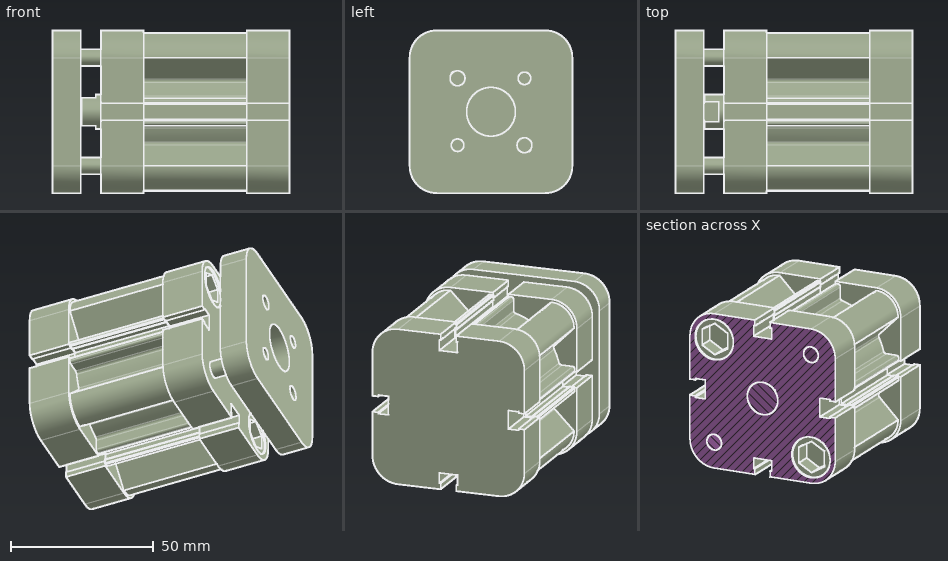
import cadquery as cq
import math


total_length = 83.0
plate_thickness = 10.0
cap_length = 15.0
tube_length = 36.0
housing_start = total_length - 2 * cap_length - tube_length
tube_start = housing_start + cap_length
gap_length = housing_start - plate_thickness

section_size = 57.0
half_section = section_size / 2
guide_offset = 18.9
corner_radius = half_section - guide_offset

bore_diameter = 17.1
bore_depth = 6.3
plate_hole_offset = 11.7
pin_hole_diameter = 5.2
thread_hole_diameter = 4.4

rod_diameter = 12.1
rod_across_flats = 9.9
rod_flat_length = 5.15
rod_chamfer = 0.3
guide_diameter = 6.0
rod_engagement = cap_length

tube_half = 27.5
tube_corner_radius = tube_half - guide_offset
barrel_radius = 22.5
lobe_width = math.sqrt(2) * tube_corner_radius
root_fillet = 1.0
jaw_half_width = 4.8
jaw_tip = 27.7
jaw_tip_fillet = 0.9

cap_slot_mouth = 5.8
cap_slot_width = 6.8
cap_slot_floor = barrel_radius
cap_slot_lip = 26.3

tube_slot_mouth = 5.4
tube_slot_width = 6.0
tube_slot_floor = 23.2
tube_slot_lip = 25.7
tube_flare_width = 0.4
tube_flare_depth = 0.25

socket_recess_diameter = 14.8
socket_recess_depth = 0.5
socket_across_flats = 10.0
socket_depth = 6.6
hexagon_sides = 6
hexagon_half_step = 180 / hexagon_sides
socket_across_corners = socket_across_flats / math.cos(math.radians(hexagon_half_step))

side_angles = (0, 90, 180, 270)


def section_plane(x):
    """Sketch plane across the stroke axis: local x is Y, local y is Z, extruding toward +X."""
    return cq.Workplane("YZ", origin=(x, 0, 0))


def rounded_block(x, length, size, radius):
    """Square block along X with its four long edges rounded."""
    return section_plane(x).rect(size, size).extrude(length).edges("|X").fillet(radius)


def around_axis(shape, angle):
    """The shape turned about the stroke axis."""
    return shape.rotate((0, 0, 0), (1, 0, 0), angle)


def make_plate():
    plate = rounded_block(0, plate_thickness, section_size, corner_radius)
    bore = section_plane(0).circle(bore_diameter / 2).extrude(bore_depth)
    p = plate_hole_offset
    pin_holes = (
        section_plane(0).pushPoints([(p, p), (-p, -p)])
        .circle(pin_hole_diameter / 2).extrude(plate_thickness)
    )
    thread_holes = (
        section_plane(0).pushPoints([(-p, p), (p, -p)])
        .circle(thread_hole_diameter / 2).extrude(plate_thickness)
    )
    return plate.cut(bore).cut(pin_holes).cut(thread_holes)


def make_piston_rod():
    rod = section_plane(plate_thickness).circle(rod_diameter / 2).extrude(gap_length + rod_engagement)
    rod = rod.faces("<X").chamfer(rod_chamfer)
    wrench_end = section_plane(plate_thickness).rect(rod_diameter, rod_across_flats).extrude(rod_flat_length)
    full_end = section_plane(plate_thickness).rect(rod_diameter, rod_diameter).extrude(rod_flat_length)
    return rod.cut(full_end.cut(wrench_end))


def make_guide_rod(y, z):
    return (
        section_plane(plate_thickness).center(y, z)
        .circle(guide_diameter / 2).extrude(gap_length + rod_engagement)
    )


def edges_along_tube(tube, distance, tolerance=0.04):
    """Edges along X that lie at the given distance from the stroke axis."""
    def is_match(edge):
        centre = edge.Center()
        return abs(math.hypot(centre.y, centre.z) - distance) < tolerance
    return tube.edges("|X").filter(is_match)


def make_tube():
    """Round barrel with four diagonal corner lobes and a jaw on each side."""
    envelope = rounded_block(tube_start, tube_length, 2 * tube_half, tube_corner_radius)
    tube = section_plane(tube_start).circle(barrel_radius).extrude(tube_length)
    for angle in (45, 135):
        lobe = section_plane(tube_start).rect(4 * tube_half, lobe_width).extrude(tube_length)
        tube = tube.union(around_axis(lobe, angle).intersect(envelope))
    for angle in (0, 90):
        jaws = section_plane(tube_start).rect(2 * jaw_half_width, 2 * jaw_tip).extrude(tube_length)
        tube = tube.union(around_axis(jaws, angle))
    tube = edges_along_tube(tube, barrel_radius).fillet(root_fillet)
    return edges_along_tube(tube, math.hypot(jaw_half_width, jaw_tip)).fillet(jaw_tip_fillet)


def make_slot(x, length, mouth, width, floor, lip):
    """T-slot on the +Z side, from its floor up past the outer surface."""
    inner = section_plane(x).center(0, (floor + lip) / 2).rect(width, lip - floor).extrude(length)
    opening = section_plane(x).center(0, (floor + half_section) / 2)
    return inner.union(opening.rect(mouth, half_section - floor).extrude(length))


def make_cap_slot(x):
    return make_slot(x, cap_length, cap_slot_mouth, cap_slot_width, cap_slot_floor, cap_slot_lip)


def make_tube_slot():
    slot = make_slot(
        tube_start, tube_length, tube_slot_mouth, tube_slot_width, tube_slot_floor, tube_slot_lip)
    narrow = tube_slot_mouth / 2
    flared = narrow + tube_flare_width
    flare = section_plane(tube_start).polyline([
        (-flared, jaw_tip),
        (flared, jaw_tip),
        (narrow, jaw_tip - tube_flare_depth),
        (-narrow, jaw_tip - tube_flare_depth),
    ]).close().extrude(tube_length)
    return slot.union(flare)


def make_corner_socket(y, z):
    """Shallow round recess with a hexagon socket whose flats face +Y and -Y."""
    recess = (
        section_plane(housing_start).center(y, z)
        .circle(socket_recess_diameter / 2).extrude(socket_recess_depth)
    )
    socket = (
        section_plane(housing_start)
        .polygon(hexagon_sides, socket_across_corners).extrude(socket_depth)
        .rotate((0, 0, 0), (1, 0, 0), hexagon_half_step)
        .translate((0, y, z))
    )
    return recess.union(socket)


def make_cap(x):
    cap = rounded_block(x, cap_length, section_size, corner_radius)
    for angle in side_angles:
        cap = cap.cut(around_axis(make_cap_slot(x), angle))
    return cap


def make_housing(inserted_rods):
    """Tube and both caps in one piece, with blind holes where the rods go in."""
    tube = make_tube()
    for angle in side_angles:
        tube = tube.cut(around_axis(make_tube_slot(), angle))
    housing = tube.union(make_cap(housing_start)).union(make_cap(tube_start + tube_length))
    for y, z in socket_positions:
        housing = housing.cut(make_corner_socket(y, z))
    for rod in inserted_rods:
        housing = housing.cut(rod)
    return housing


guide_positions = [(-guide_offset, guide_offset), (guide_offset, -guide_offset)]
socket_positions = [(guide_offset, guide_offset), (-guide_offset, -guide_offset)]

plate = make_plate()
piston_rod = make_piston_rod()
guide_rods = [make_guide_rod(y, z) for y, z in guide_positions]
housing = make_housing([piston_rod, *guide_rods])

result = cq.Compound.makeCompound([
    plate.val(),
    piston_rod.val(),
    *[guide_rod.val() for guide_rod in guide_rods],
    housing.val(),
])